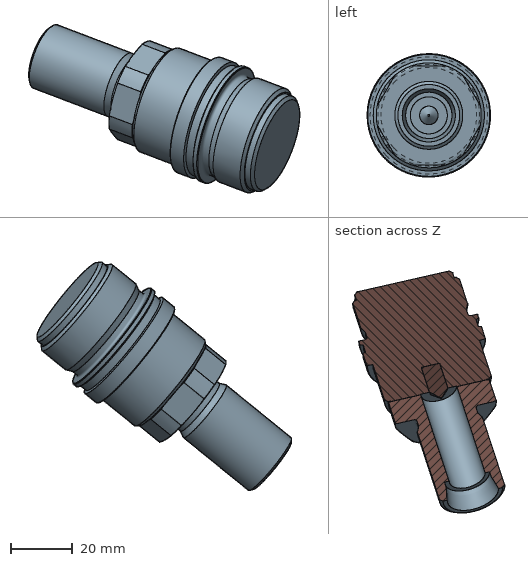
import cadquery as cq
import math


tube_radius = 11.0
tube_chamfer_depth = 1.0
tube_chamfer_length = 0.8
neck_radius = 10.0
neck_taper_start = 28.2
neck_taper_end = 30.25
root_fillet = 0.8

hex_sides = 6
hex_start = 33.0
hex_across_flats = 32.0
hex_corner_radius = 17.0
hex_chamfer_radius = hex_across_flats / 2
hex_chamfer_angle = 15.0
hex_chamfer_length = (hex_corner_radius - hex_chamfer_radius) * math.tan(math.radians(hex_chamfer_angle))

seat_mouth_radius = 8.6
seat_cone_half_angle = 12.0
socket_radius = 7.5
socket_depth = 7.0
bore_radius = 6.0

housing_start = 42.0
housing_end = 86.0
barrel_radius = 18.0
barrel_chamfer = 1.0
collar_start = 57.25
collar_end = 62.35
collar_radius = 20.0
groove_radius = 19.0
groove_start = 62.7
ring_start = 65.3
ring_end = 67.4
ring_face_slant = 0.5
edge_chamfer = 0.25
waist_radius = 17.0
waist_end = 70.0
nose_start = 72.1
nose_end = 82.0
nose_chamfer = 1.0
tip_radius = 16.5
tip_chamfer = 1.0

poppet_radius = 3.0
poppet_tip_radius = 0.3
poppet_cone_length = 3.0
poppet_seat_depth = 10.0


def revolve_about_x(profile):
    """Turn a closed (x, radius) profile into a solid of revolution."""
    return profile.close().revolve(360, (0, 0, 0), (1, 0, 0))


def rod(start, end, radius):
    """Solid cylinder on the X axis."""
    return cq.Workplane("YZ").workplane(offset=start).circle(radius).extrude(end - start)


def make_tube():
    profile = (
        cq.Workplane("XY")
        .moveTo(0, 0)
        .lineTo(0, tube_radius - tube_chamfer_depth)
        .lineTo(tube_chamfer_length, tube_radius)
        .lineTo(neck_taper_start, tube_radius)
        .lineTo(neck_taper_end, neck_radius)
        .lineTo(hex_start - root_fillet, neck_radius)
        .radiusArc((hex_start, neck_radius + root_fillet), -root_fillet)
        .lineTo(hex_start, 0)
    )
    return revolve_about_x(profile)


def make_hexagon():
    """Hexagon with two flats facing +/-Z, its corners turned to a cylinder and chamfered at both ends."""
    length = housing_start - hex_start
    corner_diameter = hex_across_flats / math.cos(math.pi / hex_sides)
    prism = cq.Workplane("YZ").workplane(offset=hex_start).polygon(hex_sides, corner_diameter).extrude(length)
    turned_envelope = rod(hex_start, housing_start, hex_corner_radius).faces("<X or >X").chamfer(
        hex_chamfer_length, hex_corner_radius - hex_chamfer_radius
    )
    return prism.intersect(turned_envelope)


def make_adapter_bore():
    seat_depth = (seat_mouth_radius - socket_radius) / math.tan(math.radians(seat_cone_half_angle))
    profile = (
        cq.Workplane("XY")
        .moveTo(0, 0)
        .lineTo(0, seat_mouth_radius)
        .lineTo(seat_depth, socket_radius)
        .lineTo(socket_depth, socket_radius)
        .lineTo(socket_depth, bore_radius)
        .lineTo(housing_start, bore_radius)
        .lineTo(housing_start, 0)
    )
    return revolve_about_x(profile)


def make_adapter():
    return make_tube().union(make_hexagon()).cut(make_adapter_bore())


def make_housing():
    profile = (
        cq.Workplane("XY")
        .moveTo(housing_start, 0)
        .lineTo(housing_start, barrel_radius - barrel_chamfer)
        .lineTo(housing_start + barrel_chamfer, barrel_radius)
        .lineTo(collar_start, barrel_radius)
        .lineTo(collar_start, collar_radius - edge_chamfer)
        .lineTo(collar_start + edge_chamfer, collar_radius)
        .lineTo(collar_end, collar_radius)
        .lineTo(groove_start, groove_radius)
        .lineTo(ring_start, groove_radius)
        .lineTo(ring_start + ring_face_slant, collar_radius)
        .lineTo(ring_end - edge_chamfer, collar_radius)
        .lineTo(ring_end, collar_radius - edge_chamfer)
        .lineTo(ring_end, waist_radius + root_fillet)
        .radiusArc((ring_end + root_fillet, waist_radius), -root_fillet)
        .lineTo(waist_end, waist_radius)
        .lineTo(nose_start, barrel_radius)
        .lineTo(nose_end, barrel_radius)
        .lineTo(nose_end + nose_chamfer, barrel_radius - nose_chamfer)
        .lineTo(nose_end + nose_chamfer, tip_radius)
        .lineTo(housing_end - tip_chamfer, tip_radius)
        .lineTo(housing_end, tip_radius - tip_chamfer)
        .lineTo(housing_end, 0)
    )
    poppet_seat = rod(housing_start, housing_start + poppet_seat_depth, poppet_radius)
    return revolve_about_x(profile).cut(poppet_seat)


def make_poppet():
    profile = (
        cq.Workplane("XY")
        .moveTo(housing_start - poppet_cone_length, 0)
        .lineTo(housing_start - poppet_cone_length, poppet_tip_radius)
        .lineTo(housing_start, poppet_radius)
        .lineTo(housing_start + poppet_seat_depth, poppet_radius)
        .lineTo(housing_start + poppet_seat_depth, 0)
    )
    return revolve_about_x(profile)


adapter = make_adapter()
housing = make_housing()
poppet = make_poppet()

result = cq.Compound.makeCompound([adapter.val(), housing.val(), poppet.val()])